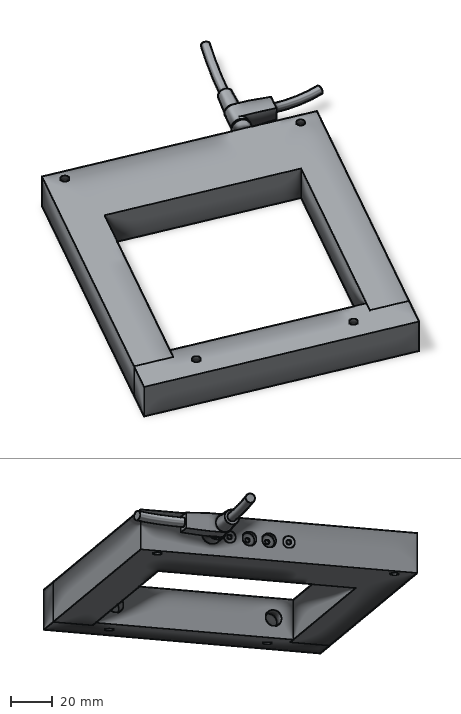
import cadquery as cq


frame_height = 20.0
frame_span = 140.0
back_leg = 35.0
arm_width = 20.0
arm_end = 138.0
opening_span = frame_span - 2 * arm_width

bar_outer = 153.0
tongue_end = 133.0

mount_diameter = 4.3
frame_mount_x = 5.0
frame_mount_pitch = 120.0
bar_mount_x = 143.0
bar_mount_pitch = 80.0

window_diameter = 8.0
window_depth = 7.5
window_pitch = bar_mount_pitch

control_pitch = 10.0
connector_y = 35.0
first_lamp_y = connector_y - control_pitch
adjuster_ys = [first_lamp_y - control_pitch, first_lamp_y - 2 * control_pitch]
lamp_ys = [first_lamp_y, first_lamp_y - 3 * control_pitch]
adjuster_diameter = 7.0
adjuster_depth = 3.0
lamp_diameter = 6.0
lamp_depth = 2.0
center_hole_diameter = 2.3
center_hole_depth = 1.0

ring_start = 2.6
ring_end = 10.8
collar_start = 12.0
collar_end = 22.7
sleeve_end = 34.8
stub_diameter = 6.5
ring_diameter = 10.0
neck_diameter = 8.0
collar_diameter = 9.0
sleeve_root_diameter = 8.6
sleeve_tip_diameter = 7.4

block_width = 9.0
block_length = 7.8
taper_length = 11.4
taper_tip_width = 8.2
taper_tip_height = 7.8

cable_diameter = 4.6
straight_cable_bend = 6.5
straight_cable_radius = 310.5
angled_cable_bend = 21.8
angled_cable_radius = 67.42


def box(x_min, x_max, y_size, z_size):
    """Block between two X positions, centred on Y and Z."""
    return cq.Workplane("XY").box(x_max - x_min, y_size, z_size, (False, True, True)).translate((x_min, 0, 0))


def bore_x(x_start, y, diameter, depth):
    """Cylinder running towards +X from x_start, at mid height."""
    return cq.Workplane("YZ", origin=(x_start, y, 0)).circle(diameter / 2).extrude(depth)


def mount_holes(x, pitch):
    """Pair of full-height cylinders spaced along Y."""
    centers = [(x, -pitch / 2), (x, pitch / 2)]
    return (
        cq.Workplane("XY").pushPoints(centers).circle(mount_diameter / 2).extrude(frame_height / 2, both=True)
    )


def make_frame():
    frame = box(0, arm_end, frame_span, frame_height)
    frame = frame.cut(box(back_leg, arm_end, opening_span, frame_height))
    frame = frame.cut(mount_holes(frame_mount_x, frame_mount_pitch))
    for y in adjuster_ys:
        frame = frame.cut(bore_x(0, y, adjuster_diameter, adjuster_depth))
        frame = frame.cut(bore_x(adjuster_depth, y, center_hole_diameter, center_hole_depth))
    for y in lamp_ys:
        frame = frame.cut(bore_x(0, y, lamp_diameter, lamp_depth))
    return frame


def make_bar():
    bar = box(arm_end, bar_outer, frame_span, frame_height)
    bar = bar.union(box(tongue_end, arm_end, opening_span, frame_height))
    bar = bar.cut(mount_holes(bar_mount_x, bar_mount_pitch))
    for y in (-window_pitch / 2, window_pitch / 2):
        bar = bar.cut(bore_x(tongue_end, y, window_diameter, window_depth))
    return bar


def make_lamp(y):
    """Indicator filling its recess flush with the frame, with a small blind hole in the middle."""
    lamp = bore_x(0, y, lamp_diameter, lamp_depth)
    return lamp.cut(bore_x(0, y, center_hole_diameter, center_hole_depth))


def make_cable(radius, bend_degrees):
    """Cable leaving the origin along +Y and bending towards -X."""
    profile = cq.Workplane("XZ").circle(cable_diameter / 2)
    return profile.revolve(bend_degrees, (-radius, 0), (-radius, 1))


def make_straight_plug():
    """Turned plug along -X with its cable bending towards +Y."""
    outline = [
        (0, 0),
        (0, stub_diameter / 2),
        (-ring_start, stub_diameter / 2),
        (-ring_start, ring_diameter / 2),
        (-ring_end, ring_diameter / 2),
        (-ring_end, neck_diameter / 2),
        (-collar_start, neck_diameter / 2),
        (-collar_start, collar_diameter / 2),
        (-collar_end, collar_diameter / 2),
        (-collar_end, sleeve_root_diameter / 2),
        (-sleeve_end, sleeve_tip_diameter / 2),
        (-sleeve_end, 0),
    ]
    plug = cq.Workplane("XY").polyline(outline).close().revolve(360, (0, 0), (1, 0))
    cable = make_cable(straight_cable_radius, straight_cable_bend)
    cable = cable.mirror("YZ").rotate((0, 0, 0), (0, 0, 1), 90)
    return plug.union(cable.translate((-sleeve_end, 0, 0)))


def make_angled_plug():
    """Block square to the straight plug, a tapering boot and a cable bending towards -X."""
    block = cq.Workplane("XZ").rect(block_width, collar_diameter).extrude(-block_length)
    boot = (
        cq.Workplane("XZ", origin=(0, block_length, 0))
        .rect(block_width, collar_diameter)
        .workplane(offset=-taper_length)
        .rect(taper_tip_width, taper_tip_height)
        .loft(ruled=True)
    )
    cable = make_cable(angled_cable_radius, angled_cable_bend)
    cable = cable.translate((0, block_length + taper_length, 0))
    plug = block.union(boot).union(cable)
    return plug.translate((block_width / 2 - collar_end, 0, 0))


frame = make_frame()
bar = make_bar()
connector = make_straight_plug().union(make_angled_plug()).translate((0, connector_y, 0))
lamps = [make_lamp(y) for y in lamp_ys]

result = cq.Compound.makeCompound([frame.val(), bar.val(), connector.val(), *[lamp.val() for lamp in lamps]])